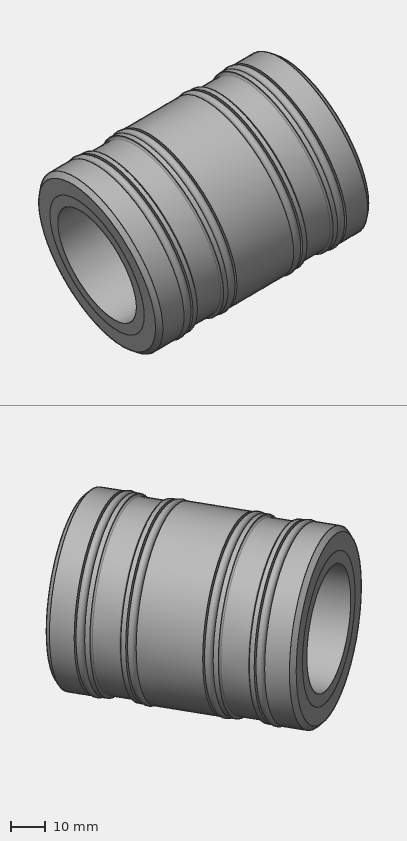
import cadquery as cq

LENGTH = 76.2

SLEEVE_DIAMETER = 59.75
END_CHAMFER = 1.5

LINER_DIAMETER = 45.7
BORE_DIAMETER = 38.1

BAND_DIAMETER = 58.1
BAND_WIDTH = 9.4
BAND_OFFSET = 19.6
BAND_FILLET = 0.45

RING_OUTER_DIAMETER = 60.4
RING_WIRE_DIAMETER = 2.6
RING_OFFSET_FROM_BAND = 7.85
GROOVE_WIDTH = 3.2

GROOVE_FLOOR_DIAMETER = RING_OUTER_DIAMETER - 2 * RING_WIRE_DIAMETER
BAND_POSITIONS = [-BAND_OFFSET, BAND_OFFSET]
RING_POSITIONS = [
    band_y + side * RING_OFFSET_FROM_BAND
    for band_y in BAND_POSITIONS
    for side in (-1, 1)
]


def cylinder(diameter, length, center_y=0.0):
    """Solid cylinder along Y, centred at center_y."""
    end_plane = cq.Workplane("XZ", origin=(0, center_y + length / 2, 0))
    return end_plane.circle(diameter / 2).extrude(length)


def band_cutter(center_y):
    """Annular cutter for a shallow band, with rounded corners at its floor."""
    core = cylinder(BAND_DIAMETER, BAND_WIDTH, center_y)
    outside = cylinder(RING_OUTER_DIAMETER, BAND_WIDTH, center_y)
    smallest_circles = cq.selectors.RadiusNthSelector(0)
    return outside.cut(core).edges(smallest_circles).fillet(BAND_FILLET)


def groove_cutter(center_y):
    """Square-sided annular cutter for an O-ring groove."""
    core = cylinder(GROOVE_FLOOR_DIAMETER, GROOVE_WIDTH, center_y)
    return cylinder(RING_OUTER_DIAMETER, GROOVE_WIDTH, center_y).cut(core)


def make_sleeve():
    """Chamfered outer housing with its bands, O-ring grooves and liner hole."""
    sleeve = cylinder(SLEEVE_DIAMETER, LENGTH).faces("<Y or >Y").chamfer(END_CHAMFER)
    for band_y in BAND_POSITIONS:
        sleeve = sleeve.cut(band_cutter(band_y))
    for ring_y in RING_POSITIONS:
        sleeve = sleeve.cut(groove_cutter(ring_y))
    return sleeve.cut(cylinder(LINER_DIAMETER, LENGTH))


def make_liner():
    """Plain bearing tube that fills the hole of the sleeve."""
    return cylinder(LINER_DIAMETER, LENGTH).cut(cylinder(BORE_DIAMETER, LENGTH))


def make_o_ring(center_y):
    """Round-section ring that rests on the floor of its groove."""
    wire_center_radius = (RING_OUTER_DIAMETER - RING_WIRE_DIAMETER) / 2
    section = cq.Workplane("XY").center(wire_center_radius, center_y).circle(RING_WIRE_DIAMETER / 2)
    axis_start = (-wire_center_radius, 0)
    axis_end = (-wire_center_radius, 1)
    return section.revolve(360, axis_start, axis_end)


sleeve = make_sleeve()
liner = make_liner()
o_rings = [make_o_ring(ring_y) for ring_y in RING_POSITIONS]

result = cq.Compound.makeCompound(
    [sleeve.val(), liner.val(), *[o_ring.val() for o_ring in o_rings]]
)